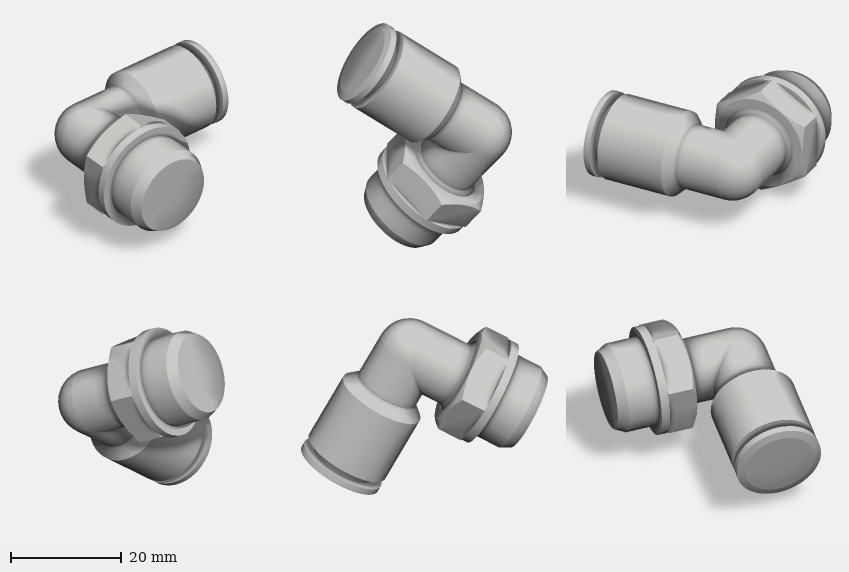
import cadquery as cq
import math

pipe_radius = 6.0

socket_radius = 8.0
socket_cone_start = 8.5
socket_start = 10.5
socket_end = 23.5
cap_start = 25.1
cap_end = 26.68
cap_bevel_length = 0.35
cap_bevel_depth = 1.45

hex_across_flats = 18.0
hex_corner_radius = hex_across_flats / math.sqrt(3)
hex_start = 10.02
hex_end = 15.52
hex_face_radius = 8.85
hex_chamfer_angle = math.radians(30)

collar_start = 9.47
recess_radius = 6.97
recess_floor = collar_start + recess_radius - pipe_radius

flange_radius = 10.02
flange_end = 17.1
spigot_radius = 8.25
spigot_end = 24.6
spigot_tip_radius = 7.25
spigot_tip_length = 1.87


def revolve_about_x(profile):
    """Revolve an XY profile of (axial, radial) points about the X axis."""
    return cq.Workplane("XY").polyline(profile).close().revolve(360, (0, 0), (1, 0))


def revolve_about_y(profile):
    """Revolve an (axial, radial) profile about the Y axis."""
    points = [(radius, axial) for axial, radius in profile]
    return cq.Workplane("XY").polyline(points).close().revolve(360, (0, 0), (0, 1))


def make_socket_leg():
    """Pipe, socket and grooved release cap along +Y."""
    return revolve_about_y([
        (0, 0),
        (0, pipe_radius),
        (socket_cone_start, pipe_radius),
        (socket_start, socket_radius),
        (socket_end, socket_radius),
        (socket_end, pipe_radius),
        (cap_start, pipe_radius),
        (cap_start, socket_radius),
        (cap_end - cap_bevel_length, socket_radius),
        (cap_end, socket_radius - cap_bevel_depth),
        (cap_end, 0),
    ])


def make_pipe_leg():
    """Pipe along +X with the collar that flares into the nut."""
    return revolve_about_x([
        (0, 0),
        (0, pipe_radius),
        (collar_start, pipe_radius),
        (recess_floor, recess_radius),
        (hex_end, recess_radius),
        (hex_end, 0),
    ])


def make_nut():
    """Hexagon with corners on +Z and -Z, chamfered and recessed on its pipe side."""
    hexagon = (
        cq.Workplane("YZ", origin=(hex_start, 0, 0))
        .transformed(rotate=(0, 0, 90))
        .polygon(6, 2 * hex_corner_radius)
        .extrude(hex_end - hex_start)
    )
    chamfer_length = (hex_corner_radius - hex_face_radius) * math.tan(hex_chamfer_angle)
    envelope = revolve_about_x([
        (hex_start, 0),
        (hex_start, hex_face_radius),
        (hex_start + chamfer_length, hex_corner_radius),
        (hex_end, hex_corner_radius),
        (hex_end, 0),
    ])
    recess = (
        cq.Workplane("YZ", origin=(hex_start, 0, 0))
        .circle(recess_radius)
        .extrude(recess_floor - hex_start)
    )
    return hexagon.intersect(envelope).cut(recess)


def make_spigot():
    """Sealing flange followed by the tapered-tip spigot."""
    return revolve_about_x([
        (hex_end, 0),
        (hex_end, flange_radius),
        (flange_end, flange_radius),
        (flange_end, spigot_radius),
        (spigot_end - spigot_tip_length, spigot_radius),
        (spigot_end, spigot_tip_radius),
        (spigot_end, 0),
    ])


elbow_ball = cq.Workplane("XY").sphere(pipe_radius)

result = (
    make_socket_leg()
    .union(make_pipe_leg())
    .union(elbow_ball)
    .union(make_nut())
    .union(make_spigot())
)